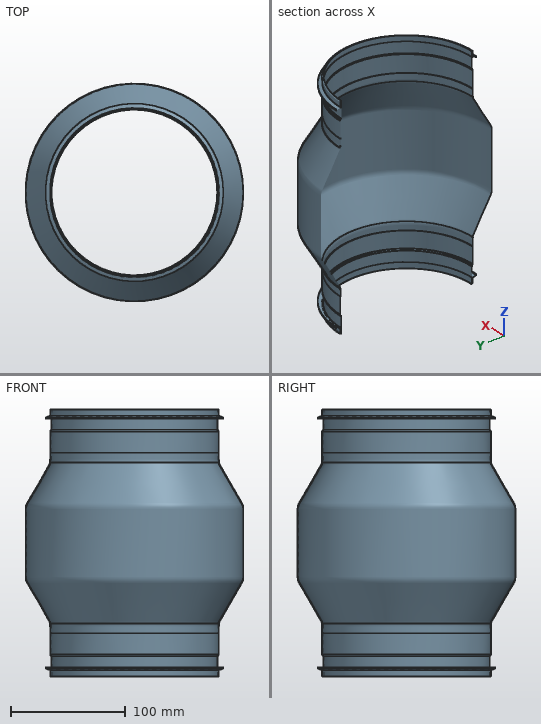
import cadquery as cq
import math

overall_length = 232.71
sheet = 0.6
half_length = overall_length / 2

drum_radius = 95.0
cone_angle = math.radians(30)
bend_radius = 9.3
sleeve_end = 78.7
drum_bend_start = 29.7

collar_outer = 147.3 / 2
collar_inner = collar_outer - sheet
groove_outer = 145.3 / 2
groove_inner = groove_outer - sheet
rim_radius = 154.9 / 2
hem_rounding = 1.0
rim_root = half_length - 5.6
rim_drop = 1.5
rim_thickness = 1.0
groove_step_top = half_length - 17.8
groove_step_bottom = half_length - 19.3
flare_angle = math.radians(18)

outside_bend = bend_radius + sheet
drum_bend_axis = drum_radius - outside_bend
sleeve_outer = collar_inner
sleeve_bend_axis = sleeve_outer + bend_radius
turn_width = 1 - math.cos(cone_angle)
cone_width = drum_radius - sleeve_outer - (outside_bend + bend_radius) * turn_width
cone_rise = cone_width / math.tan(cone_angle)
bend_rise = (outside_bend + bend_radius) * math.sin(cone_angle)
sleeve_bend_start = drum_bend_start + cone_rise + bend_rise


def drum_bend_point(radius, angle):
    """Point on the bend between drum and cone, turned by angle from the drum wall."""
    return (
        drum_bend_axis + radius * math.cos(angle),
        drum_bend_start + radius * math.sin(angle),
    )


def sleeve_bend_point(radius, angle):
    """Point on the bend between sleeve and cone, turned by angle from the sleeve wall."""
    return (
        sleeve_bend_axis - radius * math.cos(angle),
        sleeve_bend_start - radius * math.sin(angle),
    )


def turned(profile):
    """Revolve a closed (radius, height) profile about the Z axis."""
    return profile.close().revolve(360, (0, 0, 0), (0, 1, 0))


def cone_wall(drum_bend, sleeve_bend):
    """Points from drum to sleeve on one face of the sheet: drum bend arc, then sleeve bend arc."""
    angles = (0, cone_angle / 2, cone_angle)
    drum_arc = [drum_bend_point(drum_bend, angle) for angle in angles]
    sleeve_arc = [sleeve_bend_point(sleeve_bend, angle) for angle in reversed(angles)]
    return drum_arc + sleeve_arc


def lowered(points):
    """The same wall below the middle plane, run from sleeve to drum."""
    return [(radius, -height) for radius, height in reversed(points)]


def trace_wall(profile, points):
    """Add a cone wall to a profile: each three points are one bend arc."""
    first_start, first_middle, first_end, second_start, second_middle, second_end = points
    return (
        profile.lineTo(*first_start)
        .threePointArc(first_middle, first_end)
        .lineTo(*second_start)
        .threePointArc(second_middle, second_end)
    )


def make_housing():
    """Sheet housing, open at both sleeves and symmetric about the middle plane."""
    outer_wall = cone_wall(outside_bend, bend_radius)
    inner_wall = cone_wall(bend_radius, outside_bend)
    sleeve_inner = sleeve_outer - sheet
    profile = cq.Workplane("XZ").moveTo(sleeve_outer, -sleeve_end)
    profile = trace_wall(profile, lowered(outer_wall))
    profile = trace_wall(profile, outer_wall)
    profile = profile.lineTo(sleeve_outer, sleeve_end).lineTo(sleeve_inner, sleeve_end)
    profile = trace_wall(profile, inner_wall[::-1])
    profile = trace_wall(profile, lowered(inner_wall)[::-1])
    profile = profile.lineTo(sleeve_inner, -sleeve_end)
    return turned(profile)


def make_collar():
    """Upper collar: hemmed end, sealing rim, groove and flared lower end."""
    flare_outside = bend_radius - sheet
    half = flare_angle / 2
    rounding_corner = hem_rounding * (1 - math.sqrt(0.5))
    rim_tip = rim_root - rim_drop
    rim_slope = rim_drop / (rim_radius - collar_outer)
    rim_underside_root = rim_tip - rim_thickness + rim_slope * (rim_radius - groove_outer)
    profile = (
        cq.Workplane("XZ")
        .moveTo(groove_inner, half_length)
        .lineTo(collar_outer - hem_rounding, half_length)
        .threePointArc(
            (collar_outer - rounding_corner, half_length - rounding_corner),
            (collar_outer, half_length - hem_rounding),
        )
        .lineTo(collar_outer, rim_root)
        .lineTo(rim_radius, rim_tip)
        .lineTo(rim_radius, rim_tip - rim_thickness)
        .lineTo(groove_outer, rim_underside_root)
        .lineTo(groove_outer, groove_step_top)
        .lineTo(collar_outer, groove_step_bottom)
        .lineTo(collar_outer, sleeve_bend_start)
        .threePointArc(sleeve_bend_point(flare_outside, half), sleeve_bend_point(flare_outside, flare_angle))
        .lineTo(*sleeve_bend_point(bend_radius, flare_angle))
        .threePointArc(sleeve_bend_point(bend_radius, half), sleeve_bend_point(bend_radius, 0))
        .lineTo(collar_inner, groove_step_bottom)
        .lineTo(groove_inner, groove_step_top)
    )
    return turned(profile)


housing = make_housing()
upper_collar = make_collar()
collars = [upper_collar, upper_collar.mirror("XY")]

result = cq.Compound.makeCompound([housing.val(), *[collar.val() for collar in collars]])